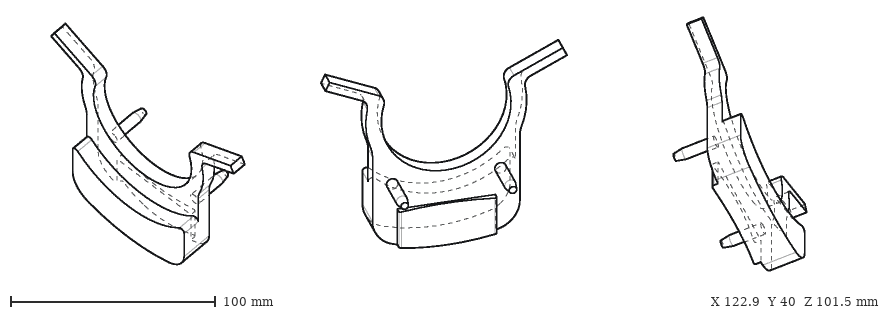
import cadquery as cq
import math

width = 122.9

plate_thickness = 8.0
bore_radius = 32.9
clip_outer_radius = 40.9
body_half_width = 37.5
bottom_z = -74.8
bottom_radius = 88.5
bottom_corner_radius = 15.0
shoulder_radius = 15.0

corner_reach = 0.1

arm_angle = 25.0
arm_thickness = 5.0
arm_top_z = 26.7
arm_inner_radius = 5.0
arm_outer_radius = 5.0

block_depth = 10.0
groove_radius = 49.9
ear_radius = 2.0

pad_half_width = 25.0
pad_top_z = -51.0
pad_centre_thickness = 1.2
pad_hollow_radius = 137.6
pad_edge_radius = 1.0
pad_blank_thickness = 7.4

pin_diameter = 5.8
pin_tip_diameter = 3.8
pin_length = 22.0
pin_tip_length = 5.0
pin_x = 27.5
pin_z = -36.3


def circle_height(radius, x):
    """Distance in Z from the centre of a circle to its outline, at X from the centre."""
    return math.sqrt(radius**2 - x**2)


def line_circle_point(point, radius):
    """Where a line through `point` along the right arm meets the right side of a circle about the origin."""
    along = point[0] * arm_dir[0] + point[1] * arm_dir[1]
    offset_squared = point[0] ** 2 + point[1] ** 2 - along**2
    step = math.sqrt(radius**2 - offset_squared) - along
    return (point[0] + step * arm_dir[0], point[1] + step * arm_dir[1])


def mirrored(point):
    """The same X-Z point on the other side of the middle plane."""
    return (-point[0], point[1])


def extrude_towards_back(outline, y_start, y_end):
    """Extrude a closed X-Z outline, drawn on the XZ plane, between two Y values."""
    return outline.extrude(-(y_end - y_start)).translate((0, y_start, 0))


def fillet_pair(body, corner, radius):
    """Round the edges along Y at a corner and at its mirror image."""
    for x, z in (corner, mirrored(corner)):
        near_corner = cq.selectors.BoxSelector(
            (x - corner_reach, -width, z - corner_reach),
            (x + corner_reach, width, z + corner_reach),
        )
        body = body.edges("|Y").edges(near_corner).fillet(radius)
    return body


arm_dir = (math.cos(math.radians(arm_angle)), math.sin(math.radians(arm_angle)))
tip_top = (width / 2 - arm_thickness * arm_dir[1], arm_top_z)
tip_bottom = (width / 2, arm_top_z - arm_thickness * arm_dir[0])
arm_root_top = line_circle_point(tip_top, bore_radius)
arm_root_bottom = line_circle_point(tip_bottom, clip_outer_radius)
shoulder = (body_half_width, -circle_height(clip_outer_radius, body_half_width))
bottom_centre_z = bottom_z + bottom_radius
bottom_corner = (body_half_width, bottom_centre_z - circle_height(bottom_radius, body_half_width))
ear = (body_half_width, -circle_height(groove_radius, body_half_width))


def clip_plate():
    """Open clip with flared arms and a rounded lower body."""
    outline = (
        cq.Workplane("XZ")
        .moveTo(*arm_root_top)
        .lineTo(*tip_top)
        .lineTo(*tip_bottom)
        .lineTo(*arm_root_bottom)
        .threePointArc((clip_outer_radius, 0), shoulder)
        .lineTo(*bottom_corner)
        .threePointArc((0, bottom_z), mirrored(bottom_corner))
        .lineTo(*mirrored(shoulder))
        .threePointArc((-clip_outer_radius, 0), mirrored(arm_root_bottom))
        .lineTo(*mirrored(tip_bottom))
        .lineTo(*mirrored(tip_top))
        .lineTo(*mirrored(arm_root_top))
        .threePointArc((0, -bore_radius), arm_root_top)
        .close()
    )
    plate = extrude_towards_back(outline, 0, plate_thickness)
    plate = fillet_pair(plate, arm_root_top, arm_inner_radius)
    plate = fillet_pair(plate, arm_root_bottom, arm_outer_radius)
    plate = fillet_pair(plate, shoulder, shoulder_radius)
    return fillet_pair(plate, bottom_corner, bottom_corner_radius)


def front_block():
    """Thick lower block with a concave top and rounded ears."""
    outline = (
        cq.Workplane("XZ")
        .moveTo(*ear)
        .lineTo(*bottom_corner)
        .threePointArc((0, bottom_z), mirrored(bottom_corner))
        .lineTo(*mirrored(ear))
        .threePointArc((0, -groove_radius), ear)
        .close()
    )
    block = extrude_towards_back(outline, -block_depth, 0)
    block = fillet_pair(block, ear, ear_radius)
    return fillet_pair(block, bottom_corner, bottom_corner_radius)


def rear_pad():
    """Pad behind the lower body, with its back hollowed about an axis along Z."""
    side_bottom = (pad_half_width, bottom_centre_z - circle_height(bottom_radius, pad_half_width))
    side_top = (pad_half_width, pad_top_z)
    outline = (
        cq.Workplane("XZ")
        .moveTo(*side_top)
        .lineTo(*side_bottom)
        .threePointArc((0, bottom_z), mirrored(side_bottom))
        .lineTo(*mirrored(side_top))
        .close()
    )
    pad = extrude_towards_back(outline, plate_thickness, plate_thickness + pad_blank_thickness)
    hollow_y = plate_thickness + pad_centre_thickness + pad_hollow_radius
    hollow = cq.Workplane("XY").center(0, hollow_y).circle(pad_hollow_radius).extrude(-width)
    pad = pad.cut(hollow)
    return pad.edges("|Z and >Y").fillet(pad_edge_radius)


def locating_pin(x):
    """Straight shank with a tapered tip, turned about an axis along Y."""
    tip_y = plate_thickness + pin_length
    half_profile = (
        cq.Workplane("XY", origin=(x, 0, pin_z))
        .moveTo(0, 0)
        .lineTo(pin_diameter / 2, 0)
        .lineTo(pin_diameter / 2, tip_y - pin_tip_length)
        .lineTo(pin_tip_diameter / 2, tip_y)
        .lineTo(0, tip_y)
        .close()
    )
    return half_profile.revolve(360, (0, 0, 0), (0, 1, 0))


result = clip_plate().union(front_block()).union(rear_pad())
for x in (-pin_x, pin_x):
    result = result.union(locating_pin(x))